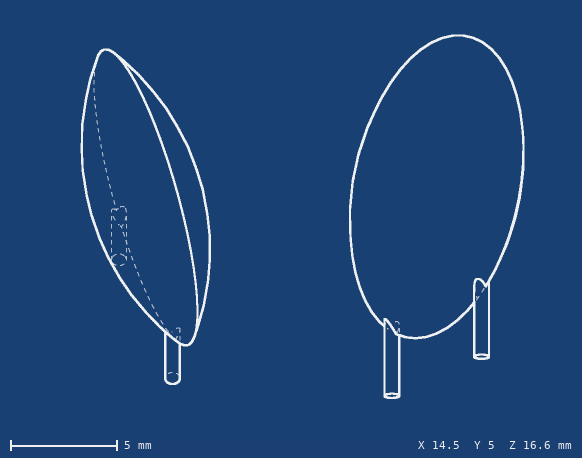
import cadquery as cq

disc_diameter = 14.5
disc_thickness = 5.0
overall_height = 16.6
pin_diameter = 0.7
pin_spacing = 7.5
pin_top_z = -4.98

disc_radius = disc_diameter / 2
half_thickness = disc_thickness / 2
pin_bottom_z = disc_radius - overall_height
pin_length = pin_top_z - pin_bottom_z

sphere_radius = (disc_radius**2 + half_thickness**2) / (2 * half_thickness)
center_offset = sphere_radius - half_thickness


def make_ball(center_y):
    """Ball centred on the Y axis."""
    return cq.Workplane("XY", origin=(0, center_y, 0)).sphere(sphere_radius)


def make_disc():
    """Biconvex lens: the overlap of two equal balls offset along Y."""
    return make_ball(-center_offset).intersect(make_ball(center_offset))


def make_pin(x):
    """Vertical pin reaching from its free end up into the disc."""
    return (
        cq.Workplane("XY", origin=(x, 0, pin_bottom_z))
        .circle(pin_diameter / 2)
        .extrude(pin_length)
    )


result = make_disc()
for side in (-1, 1):
    result = result.union(make_pin(side * pin_spacing / 2))